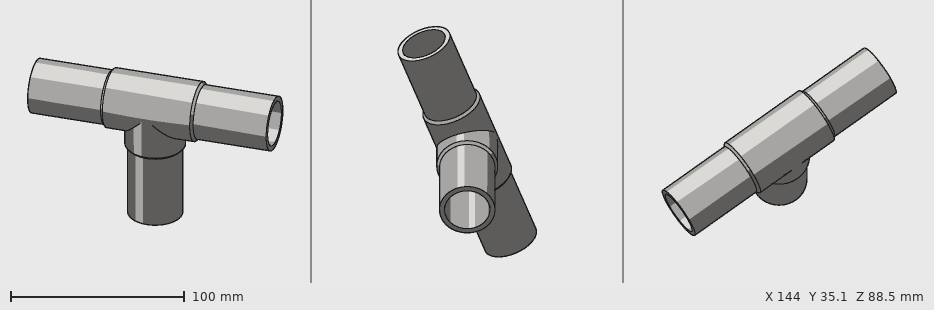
import cadquery as cq

run_length = 144.0
branch_reach = 71.0
pipe_diameter = 32.0
bore_diameter = 26.0
hub_diameter = 35.1
run_hub_length = 55.9
branch_hub_reach = 27.0
hub_chamfer = (hub_diameter - pipe_diameter) / 2


def run_cylinder(diameter, length):
    """Cylinder along X, centred on the origin."""
    return cq.Workplane("YZ", origin=(-length / 2, 0, 0)).circle(diameter / 2).extrude(length)


def branch_cylinder(diameter, reach):
    """Cylinder along -Z, starting at the run axis."""
    return cq.Workplane("XY").circle(diameter / 2).extrude(-reach)


run_hub = run_cylinder(hub_diameter, run_hub_length).faces("<X or >X").chamfer(hub_chamfer)
branch_hub = branch_cylinder(hub_diameter, branch_hub_reach).faces("<Z").chamfer(hub_chamfer)

run_pipe = run_cylinder(pipe_diameter, run_length)
branch_pipe = branch_cylinder(pipe_diameter, branch_reach)

run_bore = run_cylinder(bore_diameter, run_length)
branch_bore = branch_cylinder(bore_diameter, branch_reach)

outer_body = run_hub.union(branch_hub).union(run_pipe).union(branch_pipe)
result = outer_body.cut(run_bore).cut(branch_bore)